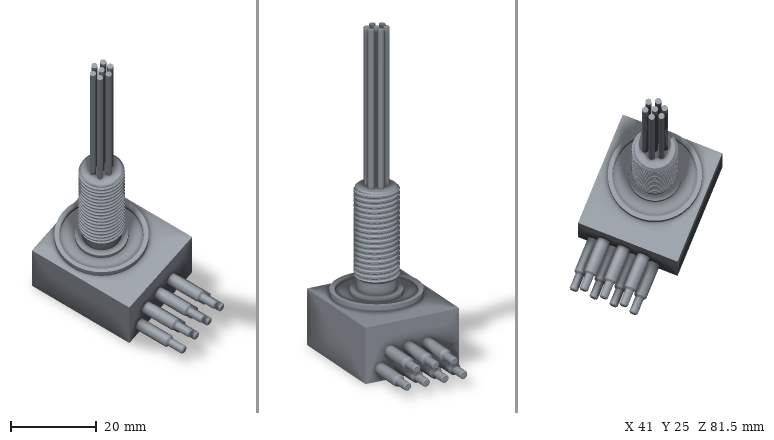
import cadquery as cq
import math

block_length = 28.0
block_width = 25.0
block_height = 14.2

flange_diameter = 22.0
flange_thickness = 1.5
recess_diameter = 19.5
recess_mouth_diameter = 20.0
recess_depth = 1.0
hub_diameter = 12.5
stem_x = flange_diameter / 2
flange_top = block_height + flange_thickness

neck_diameter = 9.4
neck_length = 2.9
thread_diameter = 10.8
thread_root_diameter = 9.95
thread_length = 23.1
thread_flank_angle = 30.0
thread_bottom = flange_top + neck_length
thread_top = thread_bottom + thread_length
thread_chamfer = (thread_diameter - neck_diameter) / 2

groove_turns = 20
groove_height = 25.4
groove_clearance = 0.1
groove_pitch = groove_height / groove_turns

wire_diameter = 1.5
wire_spacing = 2.0
wire_top = 81.5

pin_diameter = 3.0
pin_body_length = 9.0
pin_tip_diameter = 2.0
pin_tip_chamfer = 0.25
pin_total_length = 12.95
pin_row_span = 15.0
pin_center_y = -1.0
lower_row_z = 3.1
upper_row_z = 7.0
lower_row_count = 4
upper_row_count = 3
pin_pitch = pin_row_span / (lower_row_count - 1)


def stem_cylinder(diameter, bottom, top):
    """Upright cylinder on the stem axis."""
    base = cq.Workplane("XY", origin=(stem_x, 0, bottom))
    return base.circle(diameter / 2).extrude(top - bottom)


def make_flange():
    """Flange disc with a chamfered ring recess around a flush hub."""
    recess_floor = flange_top - recess_depth
    mouth_chamfer = (recess_mouth_diameter - recess_diameter) / 2
    recess = (
        cq.Workplane("XZ", origin=(stem_x, 0, 0))
        .moveTo(hub_diameter / 2, recess_floor)
        .lineTo(recess_diameter / 2, recess_floor)
        .lineTo(recess_diameter / 2, flange_top - mouth_chamfer)
        .lineTo(recess_mouth_diameter / 2, flange_top)
        .lineTo(hub_diameter / 2, flange_top)
        .close()
        .revolve(360, (0, 0, 0), (0, 1, 0))
    )
    return stem_cylinder(flange_diameter, block_height, flange_top).cut(recess)


def make_groove_turn():
    """One right-hand turn of the V-groove with a flat root, rising from Z = 0."""
    root_radius = thread_root_diameter / 2
    outer_radius = thread_diameter / 2 + groove_clearance
    root_half_width = groove_pitch / 8
    flank_rise = (outer_radius - root_radius) * math.tan(math.radians(thread_flank_angle))
    outer_half_width = root_half_width + flank_rise
    helix = cq.Wire.makeHelix(groove_pitch, groove_pitch, root_radius)
    return (
        cq.Workplane("XZ")
        .moveTo(root_radius, -root_half_width)
        .lineTo(outer_radius, -outer_half_width)
        .lineTo(outer_radius, outer_half_width)
        .lineTo(root_radius, root_half_width)
        .close()
        .sweep(cq.Workplane(helix), isFrenet=True)
    )


def make_stem():
    """Plain neck and a thread chamfered at both ends."""
    neck = stem_cylinder(neck_diameter, flange_top, thread_bottom)
    shank = stem_cylinder(thread_diameter, thread_bottom, thread_top)
    shank = shank.edges("%CIRCLE").chamfer(thread_chamfer)
    first_turn = make_groove_turn().translate((stem_x, 0, thread_bottom - groove_pitch)).val()
    turns = [first_turn.translate(cq.Vector(0, 0, turn * groove_pitch)) for turn in range(groove_turns)]
    threaded_shank = shank.val().cut(*turns)
    return neck.union(cq.Workplane(threaded_shank))


def make_wires():
    """Wires standing on the stem in rows of two, three and two."""
    rows = ((-wire_spacing, 2), (0, 3), (wire_spacing, 2))
    centers = []
    for y, count in rows:
        for index in range(count):
            centers.append(((index - (count - 1) / 2) * wire_spacing, y))
    base = cq.Workplane("XY", origin=(stem_x, 0, thread_top))
    return base.pushPoints(centers).circle(wire_diameter / 2).extrude(wire_top - thread_top)


def make_pin():
    """Terminal pin along +X: thick body, conical shoulder and thin chamfered tip."""
    shoulder = (pin_diameter - pin_tip_diameter) / 2
    body = cq.Workplane("YZ").circle(pin_diameter / 2).extrude(pin_body_length)
    body = body.faces(">X").chamfer(shoulder)
    tip = cq.Workplane("YZ").circle(pin_tip_diameter / 2).extrude(pin_total_length)
    tip = tip.faces(">X").chamfer(pin_tip_chamfer)
    return body.union(tip)


block = cq.Workplane("XY").box(block_length, block_width, block_height, centered=(False, True, False))
result = block.union(make_flange()).union(make_stem()).union(make_wires())

pin = make_pin()
for row_z, count in ((lower_row_z, lower_row_count), (upper_row_z, upper_row_count)):
    for index in range(count):
        pin_y = pin_center_y + (index - (count - 1) / 2) * pin_pitch
        result = result.union(pin.translate((block_length, pin_y, row_z)))